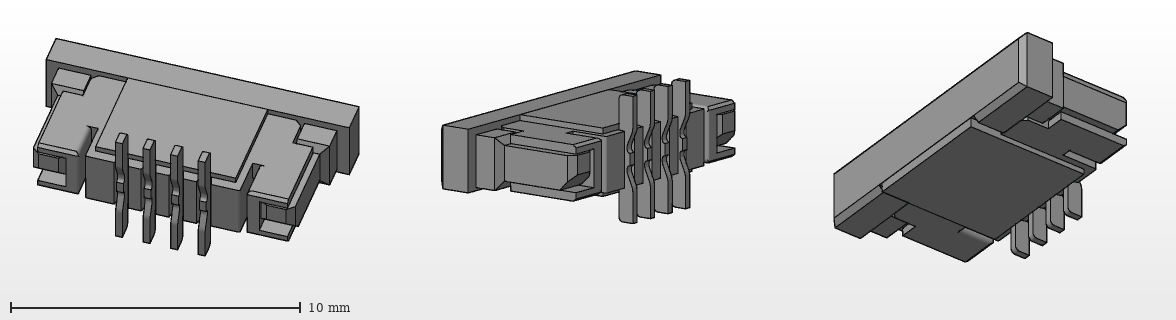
import cadquery as cq


core_half_height = 1.0
core_rear_half_width = 3.81
core_front_half_width = 2.8
core_rear_y = -1.31
core_shoulder_y = -3.81
core_front_y = -5.25
rear_corner_chamfer = 0.22
front_corner_radius = 0.07

pad_half_width = 2.54
pad_half_height = 1.21
pad_front_y = -4.9

ear_outer_x = 4.53
ear_inner_x = 3.05
ear_rear_y = -2.41
ear_edge_radius = 0.16
ear_chamfer_length = 0.13
ear_chamfer_height = 0.1
ear_slot_half_height = 0.68
latch_inner_x = 3.51

recess_half_height = 0.31
recess_depth = 0.1

contact_count = 4
contact_pitch = 1.0
contact_width = 0.25
contact_half_height = 4.5 / 2
contact_front_y = -5.5
contact_back_y = pad_front_y
tip_radius = 0.19
neck_y = -5.26
neck_start_z = 1.02
neck_end_z = 0.48
cove_top_z = 0.34
cove_radius = 0.12
bend_outer_radius = 0.43
bend_inner_radius = 0.22

groove_back_width = 0.31
groove_front_width = 0.53
tooth_front_y = -5.28

shelf_rear_y = -0.01

bar_half_length = 5.5
bar_top_z = 1.21
bar_bottom_z = -1.05
bar_chamfer = 0.21
bar_notch_half_width = 2.71
bar_notch_top_z = bar_bottom_z + bar_chamfer
block_outer_x = 5.05
block_inner_x = 3.87
block_half_height = 0.94
block_taper_y = -2.11
block_front_y = -2.31
arm_outer_x = 4.75
arm_front_y = tooth_front_y
arm_top_z = 0.64
arm_bottom_z = -0.63
arm_tip_chamfer_width = 0.26
arm_tip_chamfer_length = 0.23
arm_ramp_start_y = -4.71
arm_ramp_end_z = -0.05

contact_positions = [
    (index - (contact_count - 1) / 2) * contact_pitch for index in range(contact_count)
]


def block(x_range, y_range, z_range):
    """Box spanning the given coordinate ranges."""
    size = [abs(end - start) for start, end in (x_range, y_range, z_range)]
    center = [(start + end) / 2 for start, end in (x_range, y_range, z_range)]
    return cq.Workplane("XY").box(*size).translate(tuple(center))


def plan_prism(points, bottom_z, top_z):
    """Prism with an XY outline between two heights."""
    outline = cq.Workplane("XY").workplane(offset=bottom_z).polyline(points).close()
    return outline.extrude(top_z - bottom_z)


def side_prism(points, start_x, end_x):
    """Prism with a YZ outline between two X positions."""
    outline = cq.Workplane("YZ").workplane(offset=start_x).polyline(points).close()
    return outline.extrude(end_x - start_x)


def with_mirror(shape):
    """Shape joined with its mirror image across the YZ plane."""
    return shape.union(shape.mirror("YZ"))


def make_core():
    rear = block(
        (-core_rear_half_width, core_rear_half_width),
        (core_shoulder_y, core_rear_y),
        (-core_half_height, core_half_height),
    )
    rear = rear.faces(">Y").edges("|Z").chamfer(rear_corner_chamfer)
    front = block(
        (-core_front_half_width, core_front_half_width),
        (core_front_y, core_shoulder_y),
        (-core_half_height, core_half_height),
    )
    front = front.faces("<Y").edges("|Z").fillet(front_corner_radius)
    return rear.union(front)


def make_pads():
    x_range = (-pad_half_width, pad_half_width)
    upper = block(x_range, (pad_front_y, core_rear_y), (core_half_height, pad_half_height))
    lower = block(x_range, (pad_front_y, core_rear_y), (-pad_half_height, -core_half_height))
    return upper, lower


def make_shelf():
    return block(
        (-pad_half_width, pad_half_width),
        (core_rear_y, shelf_rear_y),
        (-pad_half_height, bar_notch_top_z),
    )


def make_ear():
    """Left ear, rounded along its inner edges and chamfered at the top and bottom of its front."""
    y_range = (core_front_y, ear_rear_y)
    z_range = (-core_half_height, core_half_height)
    ear = block((-ear_outer_x, -ear_inner_x), y_range, z_range)
    ear = ear.edges(">X and |Y").fillet(ear_edge_radius)

    rounded_corner = block((-ear_outer_x, -ear_inner_x), y_range, z_range)
    rounded_corner = rounded_corner.edges(">X and <Y").fillet(front_corner_radius)
    ear = ear.intersect(rounded_corner)

    chamfer_start_y = core_front_y + ear_chamfer_length
    face_half_height = core_half_height - ear_chamfer_height
    side_outline = [
        (ear_rear_y, -core_half_height),
        (ear_rear_y, core_half_height),
        (chamfer_start_y, core_half_height),
        (core_front_y, face_half_height),
        (core_front_y, -face_half_height),
        (chamfer_start_y, -core_half_height),
    ]
    return ear.intersect(side_prism(side_outline, -ear_outer_x, -ear_inner_x))


def make_arm_slot():
    """Cut for the left slider arm, open to the outside and wider around the latch head."""
    z_range = (-ear_slot_half_height, ear_slot_half_height)
    narrow = block((-ear_outer_x, -core_rear_half_width), (core_shoulder_y, ear_rear_y), z_range)
    wide = block((-ear_outer_x, -latch_inner_x), (core_front_y, core_shoulder_y), z_range)
    return narrow.union(wide)


def make_gap_recess():
    floor_y = core_shoulder_y + recess_depth
    floor_half_height = recess_half_height - recess_depth
    outline = [
        (core_shoulder_y, -recess_half_height),
        (core_shoulder_y, recess_half_height),
        (floor_y, floor_half_height),
        (floor_y, -floor_half_height),
    ]
    return side_prism(outline, -ear_inner_x, -core_front_half_width)


def make_teeth():
    """Slab that brings the front between the outer contacts forward."""
    return block(
        (contact_positions[0], contact_positions[-1]),
        (tooth_front_y, core_front_y),
        (-core_half_height, core_half_height),
    )


def make_groove(center_x):
    half_back = groove_back_width / 2
    half_front = groove_front_width / 2
    outline = [
        (center_x - half_back, contact_back_y),
        (center_x + half_back, contact_back_y),
        (center_x + half_front, tooth_front_y),
        (center_x - half_front, tooth_front_y),
    ]
    return plan_prism(outline, -core_half_height, core_half_height)


def make_housing():
    body = make_core().union(with_mirror(make_ear()))
    for pad in make_pads():
        body = body.union(pad)
    body = body.union(make_shelf()).union(make_teeth())
    body = body.cut(with_mirror(make_arm_slot()))
    body = body.cut(with_mirror(make_gap_recess()))
    for center_x in contact_positions:
        body = body.cut(make_groove(center_x))
    return body


def make_bar():
    bar = block((-bar_half_length, bar_half_length), (core_rear_y, 0), (bar_bottom_z, bar_top_z))
    bar = bar.faces(">Y").edges().chamfer(bar_chamfer)
    notch = block(
        (-bar_notch_half_width, bar_notch_half_width),
        (core_rear_y, 0),
        (bar_bottom_z, bar_notch_top_z),
    )
    return bar.cut(notch)


def make_arm_root():
    """Left block at the bar, tapering on its outer, top and bottom sides down to the arm."""
    plan = plan_prism(
        [
            (-block_inner_x, core_rear_y),
            (-block_outer_x, core_rear_y),
            (-block_outer_x, block_taper_y),
            (-arm_outer_x, block_front_y),
            (-block_inner_x, block_front_y),
        ],
        -block_half_height,
        block_half_height,
    )
    side = side_prism(
        [
            (core_rear_y, -block_half_height),
            (core_rear_y, block_half_height),
            (block_taper_y, block_half_height),
            (block_front_y, arm_top_z),
            (block_front_y, arm_bottom_z),
            (block_taper_y, -block_half_height),
        ],
        -block_outer_x,
        -block_inner_x,
    )
    return plan.intersect(side)


def make_arm():
    """Left arm with a wider latch head, tapered at the tip and ramped underneath."""
    tip_taper_y = arm_front_y + arm_tip_chamfer_length
    plan = plan_prism(
        [
            (-block_inner_x, block_front_y),
            (-arm_outer_x, block_front_y),
            (-arm_outer_x, tip_taper_y),
            (-arm_outer_x + arm_tip_chamfer_width, arm_front_y),
            (-latch_inner_x - arm_tip_chamfer_width, arm_front_y),
            (-latch_inner_x, tip_taper_y),
            (-latch_inner_x, core_shoulder_y),
            (-block_inner_x, core_shoulder_y),
        ],
        arm_bottom_z,
        arm_top_z,
    )
    ramp = side_prism(
        [
            (arm_ramp_start_y, arm_bottom_z),
            (arm_front_y, arm_ramp_end_z),
            (arm_front_y, arm_bottom_z),
        ],
        -arm_outer_x,
        -latch_inner_x,
    )
    return plan.cut(ramp)


def make_slider():
    return make_bar().union(with_mirror(make_arm_root().union(make_arm())))


def make_contact_half():
    """Upper half of a contact centred on X = 0, from its middle to the tip."""
    bump_y = neck_y - cove_radius
    cove_bottom_z = cove_top_z - cove_radius
    diagonal = cove_radius / 2**0.5
    cove_middle = (bump_y + diagonal, cove_top_z - diagonal)
    outline = (
        cq.Workplane("YZ")
        .workplane(offset=-contact_width / 2)
        .moveTo(contact_back_y, 0)
        .lineTo(bump_y, 0)
        .lineTo(bump_y, cove_bottom_z)
        .threePointArc(cove_middle, (neck_y, cove_top_z))
        .lineTo(neck_y, neck_end_z)
        .lineTo(contact_front_y, neck_start_z)
        .lineTo(contact_front_y, contact_half_height)
        .lineTo(contact_back_y, contact_half_height)
        .close()
    )
    half = outline.extrude(contact_width)
    outer_bend = cq.selectors.NearestToPointSelector((0, contact_front_y, neck_start_z))
    half = half.edges(outer_bend).fillet(bend_outer_radius)
    inner_bend = cq.selectors.NearestToPointSelector((0, neck_y, neck_end_z))
    half = half.edges(inner_bend).fillet(bend_inner_radius)
    tip_corner = cq.selectors.NearestToPointSelector((0, contact_back_y, contact_half_height))
    return half.edges(tip_corner).fillet(tip_radius)


def make_contact(center_x):
    half = make_contact_half()
    contact = half.union(half.mirror("XY")).clean()
    return contact.translate((center_x, 0, 0))


housing = make_housing()
slider = make_slider()
contacts = [make_contact(center_x) for center_x in contact_positions]

result = cq.Compound.makeCompound(
    [housing.solids().val(), slider.solids().val(), *[contact.solids().val() for contact in contacts]]
)